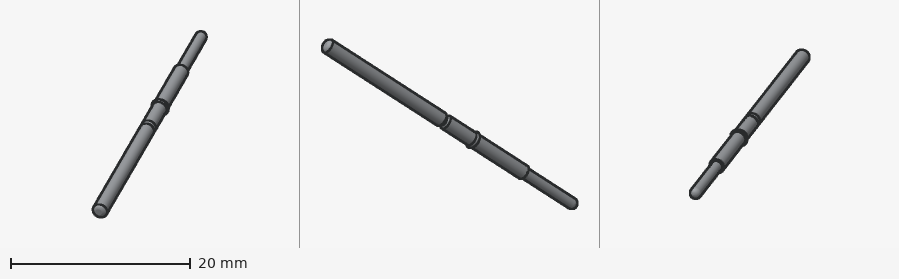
import cadquery as cq

length = 38.4
tail_y = -length / 2
tip_y = length / 2

plunger_radius = 0.65
barrel_radius = 0.85
collar_radius = 1.0

plunger_length = 8.0
tip_rounding = 0.6

collar_width = 0.5
collar_center = 15.75

groove_center = 20.28
groove_width = 0.65
groove_depth = 0.23

dome_length = 0.4
dome_middle_radius = 0.73
tail_flat_radius = 0.4

barrel_front_y = tip_y - plunger_length
collar_y = tip_y - collar_center
groove_y = tip_y - groove_center


def make_barrel():
    """Revolve the barrel with its domed tail, groove and collar about Y."""
    return (
        cq.Workplane("XY")
        .moveTo(0, tail_y)
        .lineTo(tail_flat_radius, tail_y)
        .threePointArc(
            (dome_middle_radius, tail_y + dome_length / 2),
            (barrel_radius, tail_y + dome_length),
        )
        .lineTo(barrel_radius, groove_y - groove_width / 2)
        .lineTo(barrel_radius - groove_depth, groove_y)
        .lineTo(barrel_radius, groove_y + groove_width / 2)
        .lineTo(barrel_radius, collar_y - collar_width / 2)
        .threePointArc(
            (collar_radius, collar_y),
            (barrel_radius, collar_y + collar_width / 2),
        )
        .lineTo(barrel_radius, barrel_front_y)
        .lineTo(0, barrel_front_y)
        .close()
        .revolve(360, (0, 0, 0), (0, 1, 0))
    )


def make_plunger():
    """Round-ended plunger standing on the front face of the barrel."""
    plunger = cq.Workplane("XZ", origin=(0, tip_y, 0)).circle(plunger_radius).extrude(plunger_length)
    return plunger.faces(">Y").edges().fillet(tip_rounding)


result = make_barrel().union(make_plunger())